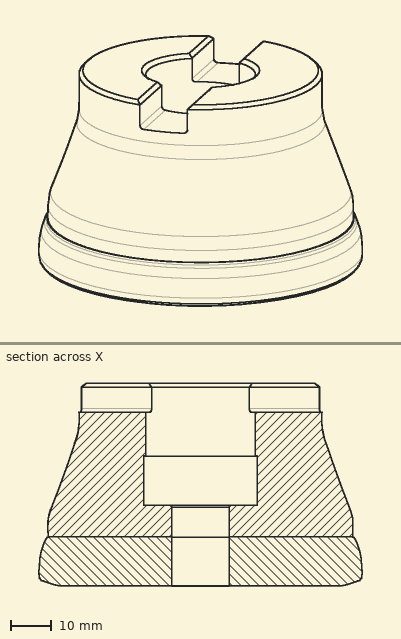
import cadquery as cq

max_radius = 39.95
total_height = 50.0

hub_radius = 60.0 / 2
skirt_radius = 75.35 / 2
cone_top_z = 38.1
cone_bottom_z = 16.9
cone_blend_radius = 10.0
edge_chamfer = 0.95

joint_z = 12.1

ledge_radius = 37.9
lip_z = 11.6
lip_radius = 38.2
flare_z = 10.9
flare_radius = 38.6
shoulder_z = 8.5
shoulder_radius = 39.4
widest_z = 3.6
lower_side_z = 2.0
lower_side_radius = 39.8
corner_z = 1.35
corner_radius = 39.3
underside_z = 0.3
underside_radius = 36.2
foot_radius = 34.6

bore_radius = 27.0 / 2
bore_depth = 18.0
bore_bottom_z = total_height - bore_depth
relief_radius = 28.0 / 2
bore_floor_z = 20.0
bore_chamfer = 1.0
through_radius = 14.0 / 2
through_chamfer = 0.5

slot_width = 12.3
slot_floor_z = 42.9
slot_fillet = 0.95


def make_housing_blank():
    """Revolved hub and cone, solid through the middle."""
    blank = (
        cq.Workplane("XZ")
        .moveTo(0, joint_z)
        .lineTo(skirt_radius, joint_z)
        .lineTo(skirt_radius, cone_bottom_z)
        .lineTo(hub_radius, cone_top_z)
        .lineTo(hub_radius, total_height)
        .lineTo(0, total_height)
        .close()
        .revolve(360, (0, 0), (0, 1))
    )
    blend_margin = 0.1
    cone_ends = cq.selectors.BoxSelector(
        (-max_radius, -max_radius, cone_bottom_z - blend_margin),
        (max_radius, max_radius, cone_top_z + blend_margin),
        boundingbox=True,
    )
    blank = blank.edges("%CIRCLE").edges(cone_ends).fillet(cone_blend_radius)
    return blank.faces(">Z").edges().chamfer(edge_chamfer)


def make_bore_cutter():
    """Revolved stepped bore, relieved above its floor, with a chamfer at each upper mouth."""
    return (
        cq.Workplane("XZ")
        .lineTo(through_radius, 0)
        .lineTo(through_radius, bore_floor_z - through_chamfer)
        .lineTo(through_radius + through_chamfer, bore_floor_z)
        .lineTo(relief_radius, bore_floor_z)
        .lineTo(relief_radius, bore_bottom_z)
        .lineTo(bore_radius, bore_bottom_z)
        .lineTo(bore_radius, total_height - bore_chamfer)
        .lineTo(bore_radius + bore_chamfer, total_height)
        .lineTo(0, total_height)
        .close()
        .revolve(360, (0, 0), (0, 1))
    )


def make_slot_cutter():
    """Slot with rounded floor corners and chamfered top edges."""
    half_width = slot_width / 2
    return (
        cq.Workplane("XZ", origin=(0, max_radius, 0))
        .moveTo(-half_width + slot_fillet, slot_floor_z)
        .lineTo(half_width - slot_fillet, slot_floor_z)
        .radiusArc((half_width, slot_floor_z + slot_fillet), -slot_fillet)
        .lineTo(half_width, total_height - edge_chamfer)
        .lineTo(half_width + edge_chamfer, total_height)
        .lineTo(-half_width - edge_chamfer, total_height)
        .lineTo(-half_width, total_height - edge_chamfer)
        .lineTo(-half_width, slot_floor_z + slot_fillet)
        .radiusArc((-half_width + slot_fillet, slot_floor_z), -slot_fillet)
        .close()
        .extrude(2 * max_radius)
    )


def make_housing():
    return make_housing_blank().cut(make_bore_cutter()).cut(make_slot_cutter())


def bulge_arc_radius(end_radius, end_z):
    """Radius of the side arc that is vertical at the widest level and ends at the given point."""
    inset = max_radius - end_radius
    rise = end_z - widest_z
    return (inset**2 + rise**2) / (2 * inset)


def make_base_ring():
    """Revolved base with a bulging side and the through hole in its middle."""
    return (
        cq.Workplane("XZ")
        .moveTo(through_radius, 0)
        .lineTo(foot_radius, 0)
        .lineTo(underside_radius, underside_z)
        .lineTo(corner_radius, corner_z)
        .lineTo(lower_side_radius, lower_side_z)
        .radiusArc((max_radius, widest_z), -bulge_arc_radius(lower_side_radius, lower_side_z))
        .radiusArc((shoulder_radius, shoulder_z), -bulge_arc_radius(shoulder_radius, shoulder_z))
        .lineTo(flare_radius, flare_z)
        .lineTo(lip_radius, lip_z)
        .lineTo(ledge_radius, joint_z)
        .lineTo(through_radius, joint_z)
        .close()
        .revolve(360, (0, 0), (0, 1))
    )


housing = make_housing()
base_ring = make_base_ring()

result = cq.Compound.makeCompound([housing.val(), base_ring.val()])